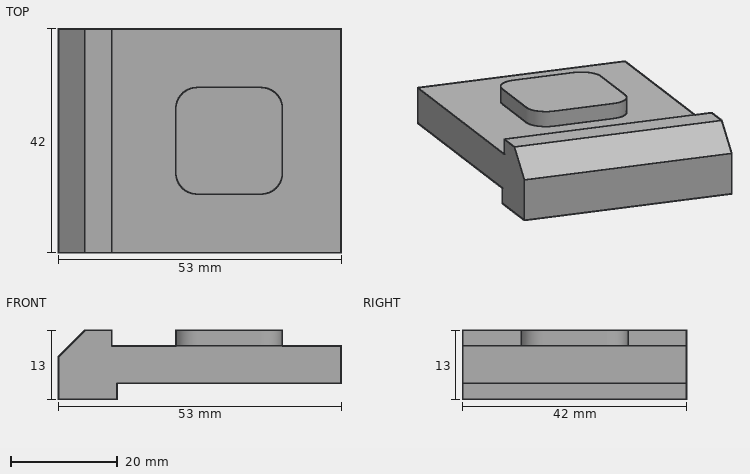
import cadquery as cq

length = 53.0
width = 42.0
height = 13.0

plate_bottom = 3.0
plate_top = 10.0

foot_length = 11.0
head_length = 10.0
head_chamfer = 5.0

pad_side = 20.0
pad_corner_radius = 4.0
pad_height = height - plate_top
pad_center_x = (foot_length + length) / 2
pad_center_y = width / 2


def make_body():
    """Plate and head as one XZ profile, extruded over the full width."""
    profile = [
        (0, 0),
        (foot_length, 0),
        (foot_length, plate_bottom),
        (length, plate_bottom),
        (length, plate_top),
        (head_length, plate_top),
        (head_length, height),
        (head_chamfer, height),
        (0, height - head_chamfer),
    ]
    return cq.Workplane("XZ").polyline(profile).close().extrude(-width)


def make_pad():
    """Square pad with rounded corners, standing on the plate."""
    return (
        cq.Workplane("XY", origin=(pad_center_x, pad_center_y, plate_top))
        .rect(pad_side, pad_side)
        .extrude(pad_height)
        .edges("|Z")
        .fillet(pad_corner_radius)
    )


result = make_body().union(make_pad())